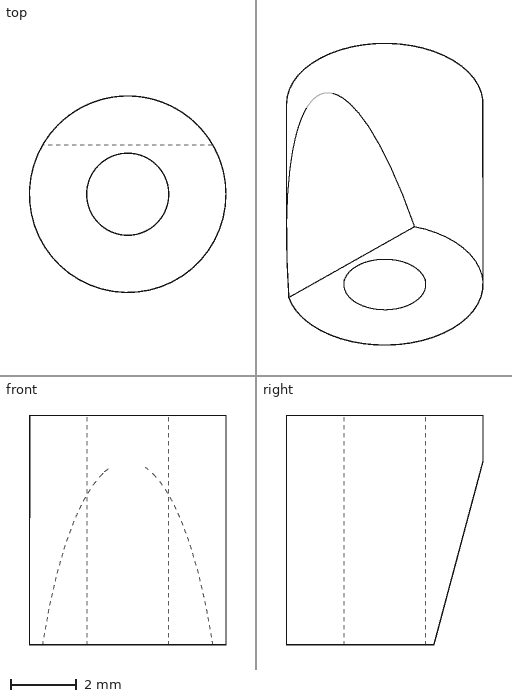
import cadquery as cq
import math

height = 7
outer_diameter = 6.0
bore_diameter = 2.5
slope_angle = 15

outer_radius = outer_diameter / 2
flat_bottom_y = outer_radius / 2
flat_height = (outer_radius - flat_bottom_y) / math.tan(math.radians(slope_angle))


def make_sleeve():
    """Cylinder standing on the XY plane with a through bore."""
    return (
        cq.Workplane("XY")
        .circle(outer_radius)
        .circle(bore_diameter / 2)
        .extrude(height)
    )


def make_flat_cutter():
    """Triangular prism that removes the lower +Y side along a sloped plane."""
    return (
        cq.Workplane("YZ")
        .moveTo(flat_bottom_y, 0)
        .lineTo(outer_radius, 0)
        .lineTo(outer_radius, flat_height)
        .close()
        .extrude(outer_radius, both=True)
    )


result = make_sleeve().cut(make_flat_cutter())